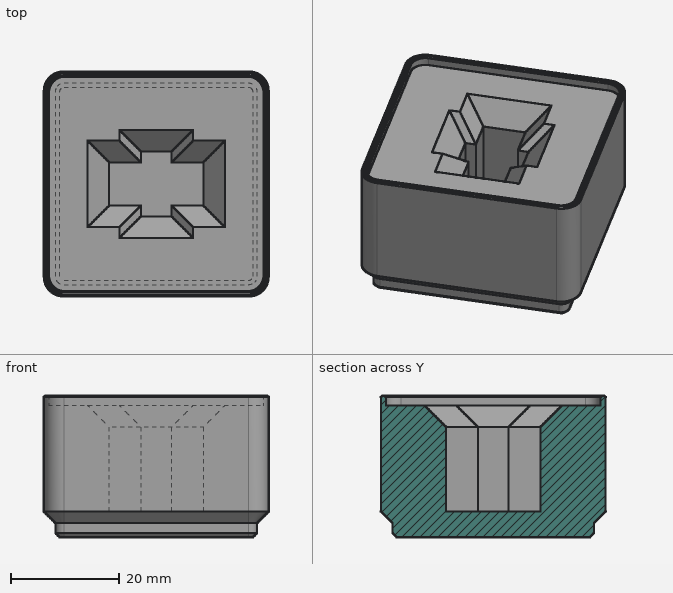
import cadquery as cq

side = 41.5
height = 26.15
corner_radius = 3.75

toe_chamfer = 0.8
toe_wall = 1.83
foot_taper = 2.15
foot_side = side - 2 * foot_taper
foot_radius = corner_radius - foot_taper
toe_side = foot_side - 2 * toe_chamfer
toe_radius = foot_radius - toe_chamfer
foot_taper_base = toe_chamfer + toe_wall
body_base = foot_taper_base + foot_taper

rim_width = 1.0
rim_depth = 1.83
rim_chamfer = 0.3
deck = height - rim_depth
recess_side = side - 2 * rim_width
recess_radius = corner_radius - rim_width

wide_mouth = (25.3, 15.95)
tall_mouth = (13.6, 19.9)
mouth_taper = 4.0
pocket_floor = body_base
well_top = deck - mouth_taper


def rounded_square(width, radius, base):
    square = cq.Sketch().rect(width, width).vertices().fillet(radius)
    return square.moved(cq.Location(cq.Vector(0, 0, base)))


def rounded_prism(width, radius, base, top):
    square = rounded_square(width, radius, 0)
    return cq.Workplane("XY", origin=(0, 0, base)).placeSketch(square).extrude(top - base)


def rounded_taper(lower, upper):
    """Loft between two (width, radius, height) rounded squares."""
    sections = (rounded_square(*lower), rounded_square(*upper))
    return cq.Workplane("XY").placeSketch(*sections).loft(ruled=True)


def cross_outline(inset):
    """Plus-shaped outline whose arms end inset inside the mouth."""
    wide_x, wide_y = (size / 2 - inset for size in wide_mouth)
    tall_x, tall_y = (size / 2 - inset for size in tall_mouth)
    quarter = [(wide_x, wide_y), (tall_x, wide_y), (tall_x, tall_y)]
    left = [(-x, y) for x, y in reversed(quarter)]
    upper = quarter + left
    return upper + [(-x, -y) for x, y in upper]


def cross_pocket():
    mouth = (
        cq.Workplane("XY", origin=(0, 0, well_top))
        .polyline(cross_outline(mouth_taper))
        .close()
        .workplane(offset=mouth_taper)
        .polyline(cross_outline(0))
        .close()
        .loft(ruled=True)
    )
    well = (
        cq.Workplane("XY", origin=(0, 0, pocket_floor))
        .polyline(cross_outline(mouth_taper))
        .close()
        .extrude(well_top - pocket_floor)
    )
    return well.union(mouth)


foot = (
    rounded_taper((toe_side, toe_radius, 0), (foot_side, foot_radius, toe_chamfer))
    .union(rounded_prism(foot_side, foot_radius, toe_chamfer, foot_taper_base))
    .union(
        rounded_taper(
            (foot_side, foot_radius, foot_taper_base),
            (side, corner_radius, body_base),
        )
    )
)
body = rounded_prism(side, corner_radius, body_base, height)
recess = rounded_prism(recess_side, recess_radius, deck, height)
rimmed_body = body.cut(recess).faces(">Z").edges().chamfer(rim_chamfer)

result = foot.union(rimmed_body).cut(cross_pocket())